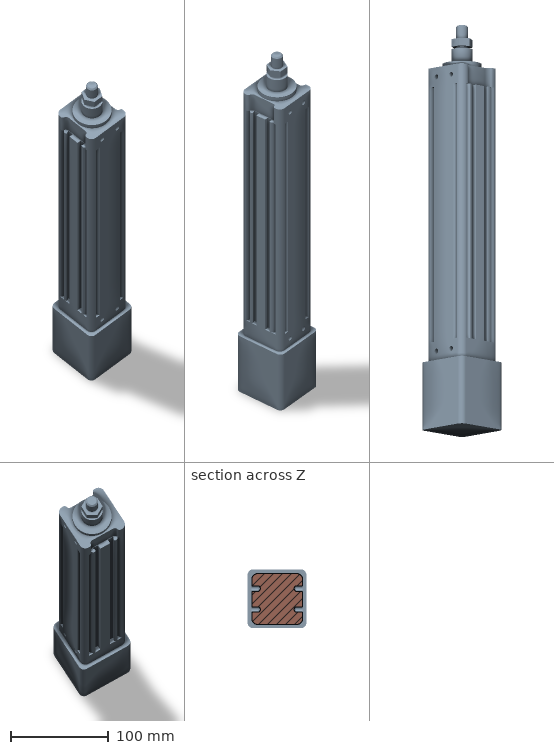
import cadquery as cq
import math

total_height = 420.0
base_height = 70.0
body_height = 305.0
flange_height = 5.0
rod_height = 15.0
thread_top_chamfer = 1.45

base_side = 60.0
base_corner_radius = 5.5

body_side = 52.5
body_corner_radius = 6.5
end_block_height = 20.0

flange_diameter = 40.0
rod_diameter = 22.0
thread_diameter = 12.0

nut_across_flats = 19.0
nut_height = 8.0
nut_gap = 2.5

recess_depth = 5.0
recess_mouth_half_width = 18.5
recess_wall_half_width = 16.0
recess_floor_half_width = 12.0

slot_inner_edge = 6.0
slot_outer_edge = 12.0
slot_lip_edge = 11.0
slot_lip_depth = 1.0
slot_depth = 4.5

groove_inner_edge = 14.3
groove_bottom = 17.2
groove_outer_edge = 19.5
groove_depth = 3.8

hole_diameter = 5.0
hole_depth = 7.5
hole_tip_angle = 118.0
hole_spacing = 21.5
hole_end_distance = 10.0

half_body = body_side / 2
body_top = base_height + body_height
flange_top = body_top + flange_height
rod_top = flange_top + rod_height
profile_bottom = base_height + end_block_height
profile_top = body_top - end_block_height


def square_block(side, corner_radius, bottom, height):
    block = cq.Workplane("XY").workplane(offset=bottom).rect(side, side).extrude(height)
    return block.edges("|Z").fillet(corner_radius)


def cylinder(diameter, bottom, top):
    return cq.Workplane("XY").workplane(offset=bottom).circle(diameter / 2).extrude(top - bottom)


def turned(shape, angle):
    return shape.rotate((0, 0, 0), (0, 0, 1), angle)


def recess_cutter():
    """Shallow recess on the +Y face, with rounded mouth edges and concave floor corners."""
    mouth_radius = recess_mouth_half_width - recess_wall_half_width
    wall_y = half_body - mouth_radius
    floor_y = half_body - recess_depth
    corner_width = recess_wall_half_width - recess_floor_half_width
    corner_height = wall_y - floor_y
    corner_radius = (corner_width**2 + corner_height**2) / (2 * corner_height)
    return (
        cq.Workplane("XY")
        .workplane(offset=profile_top)
        .moveTo(-recess_mouth_half_width, half_body)
        .radiusArc((-recess_wall_half_width, wall_y), mouth_radius)
        .radiusArc((-recess_floor_half_width, floor_y), -corner_radius)
        .lineTo(recess_floor_half_width, floor_y)
        .radiusArc((recess_wall_half_width, wall_y), -corner_radius)
        .radiusArc((recess_mouth_half_width, half_body), mouth_radius)
        .close()
        .extrude(end_block_height)
    )


def profile_cutter(points):
    """Cutter of the middle body stretch; points are (x, depth below the +Y face), mirrored about X = 0."""
    outline = [(x, half_body - depth) for x, depth in points]
    cutter = (
        cq.Workplane("XY")
        .workplane(offset=profile_bottom)
        .polyline(outline)
        .close()
        .extrude(profile_top - profile_bottom)
    )
    return cutter.union(cutter.mirror("YZ"))


def hole_cutter():
    """Drilled hole with a conical tip, running inwards from the +X face at Y = 0, Z = 0."""
    radius = hole_diameter / 2
    tip_length = radius / math.tan(math.radians(hole_tip_angle / 2))
    return (
        cq.Workplane("XY")
        .polyline([
            (half_body, 0),
            (half_body, radius),
            (half_body - hole_depth, radius),
            (half_body - hole_depth - tip_length, 0),
        ])
        .close()
        .revolve(360, (0, 0, 0), (1, 0, 0))
    )


body = square_block(body_side, body_corner_radius, base_height, body_height)

recess = recess_cutter()
slots = profile_cutter([
    (slot_inner_edge, 0),
    (slot_inner_edge, slot_depth),
    (slot_outer_edge, slot_depth),
    (slot_lip_edge, slot_lip_depth),
    (slot_outer_edge, 0),
])
for angle in (0, 180):
    body = body.cut(turned(recess, angle)).cut(turned(slots, angle))

grooves = profile_cutter([
    (groove_inner_edge, 0),
    (groove_bottom, groove_depth),
    (groove_outer_edge, 0),
])
for angle in (0, 90, 180, 270):
    body = body.cut(turned(grooves, angle))

hole = hole_cutter()
for angle in (0, 180):
    for y in (-hole_spacing / 2, hole_spacing / 2):
        for z in (base_height + hole_end_distance, body_top - hole_end_distance):
            body = body.cut(turned(hole.translate((0, y, z)), angle))

base = square_block(base_side, base_corner_radius, 0, base_height)
flange = cylinder(flange_diameter, body_top, flange_top)
rod = cylinder(rod_diameter, flange_top, rod_top)
thread = cylinder(thread_diameter, rod_top, total_height).faces(">Z").chamfer(thread_top_chamfer)

nut_across_corners = nut_across_flats / math.cos(math.radians(30))
nut = (
    cq.Workplane("XY")
    .workplane(offset=rod_top + nut_gap)
    .polygon(6, nut_across_corners)
    .extrude(nut_height)
)
nut = turned(nut, 90)

result = base.union(body).union(flange).union(rod).union(thread).union(nut)